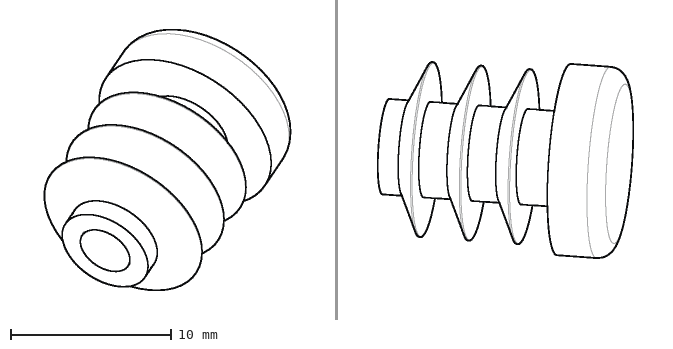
import cadquery as cq
import math

total_length = 14.8
head_diameter = 12.0
head_thickness = 3.51
head_edge_radius = 1.0
shaft_diameter = 6.0
bore_diameter = 3.45

fin_count = 3
fin_diameter = 11.0
fin_length = 1.3
fin_rim_radius = 0.05
fin_spacing = 1.79
head_to_first_fin = 2.5

shaft_length = total_length - head_thickness
fin_pitch = fin_length + fin_spacing


def disc(diameter, back_y, length):
    """Cylinder on the Y axis that runs from back_y toward -Y."""
    plane = cq.Workplane("XZ", origin=(0, back_y, 0))
    return plane.circle(diameter / 2).extrude(length)


def make_head():
    """Head with its underside at Y = 0 and a rounded outer edge."""
    head = disc(head_diameter, head_thickness, head_thickness)
    return head.faces(">Y").edges().fillet(head_edge_radius)


def make_fin(back_y):
    """Fin with its flat back at back_y, tapering down to the shaft diameter."""
    tip_radius = fin_diameter / 2
    root_radius = shaft_diameter / 2
    root_y = back_y - fin_length
    rim_center_radius = tip_radius - fin_rim_radius
    rim_center_y = back_y - fin_rim_radius

    root_to_center_radial = rim_center_radius - root_radius
    root_to_center_y = rim_center_y - root_y
    center_distance = math.hypot(root_to_center_radial, root_to_center_y)
    center_angle = math.atan2(root_to_center_y, root_to_center_radial)
    cone_angle = center_angle - math.asin(fin_rim_radius / center_distance)
    tangent_radius = rim_center_radius + fin_rim_radius * math.sin(cone_angle)
    tangent_y = rim_center_y - fin_rim_radius * math.cos(cone_angle)

    half_profile = (
        cq.Workplane("XY")
        .moveTo(0, back_y)
        .lineTo(rim_center_radius, back_y)
        .threePointArc((tip_radius, rim_center_y), (tangent_radius, tangent_y))
        .lineTo(root_radius, root_y)
        .lineTo(0, root_y)
        .close()
    )
    return half_profile.revolve(360, (0, 0, 0), (0, 1, 0))


plug = make_head().union(disc(shaft_diameter, 0, shaft_length))
for index in range(fin_count):
    plug = plug.union(make_fin(-head_to_first_fin - index * fin_pitch))

bore = disc(bore_diameter, 0, shaft_length)
result = plug.cut(bore)